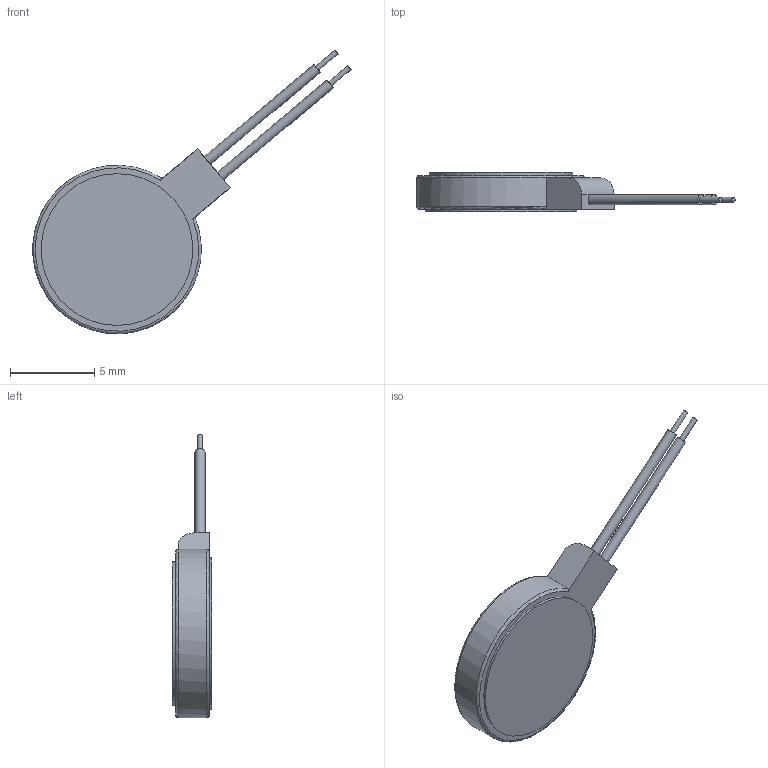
import cadquery as cq

housing_diameter = 10.0
housing_thickness = 2.0
housing_edge_radius = 0.15

front_disc_diameter = 9.0
front_disc_thickness = 0.15
back_disc_diameter = 8.5
back_disc_thickness = 0.2

lead_angle = 40.0
block_width = 3.0
block_reach = 7.5
block_depth = housing_thickness - housing_edge_radius
block_round_radius = 1.0

wire_spacing = 1.2
insulation_diameter = 0.6
insulation_length = 8.5
core_diameter = 0.3
bare_length = 1.5
wire_depth = 0.55


def disc(diameter, y_start, thickness):
    """Disc about the Y axis, growing towards +Y from y_start."""
    plane = cq.Plane(origin=(0, y_start, 0), xDir=(1, 0, 0), normal=(0, 1, 0))
    return cq.Workplane(plane).circle(diameter / 2).extrude(thickness)


def make_housing():
    """Round housing with rounded rims and a raised disc on each face."""
    drum = disc(housing_diameter, 0, housing_thickness).edges().fillet(housing_edge_radius)
    front_disc = disc(front_disc_diameter, -front_disc_thickness, front_disc_thickness)
    back_disc = disc(back_disc_diameter, housing_thickness, back_disc_thickness)
    return drum.union(front_disc).union(back_disc)


def make_lead_block():
    """Block along +X from the housing axis, its far back edge rounded."""
    block = cq.Workplane("XY").box(block_reach, block_depth, block_width, centered=(False, False, True))
    return block.faces(">X").edges(">Y").fillet(block_round_radius)


def make_wire(z_offset):
    """Insulated wire along +X from the block's end face, with its bare tip."""
    end_face = cq.Plane(origin=(block_reach, wire_depth, z_offset), xDir=(0, 1, 0), normal=(1, 0, 0))
    insulation = cq.Workplane(end_face).circle(insulation_diameter / 2).extrude(insulation_length)
    core = cq.Workplane(end_face).circle(core_diameter / 2).extrude(insulation_length + bare_length)
    return insulation.union(core)


def make_leads():
    """Lead block and both wires, turned to the lead angle."""
    leads = make_lead_block()
    for side in (-1, 1):
        leads = leads.union(make_wire(side * wire_spacing / 2))
    return leads.rotate((0, 0, 0), (0, 1, 0), -lead_angle)


result = make_housing().union(make_leads())